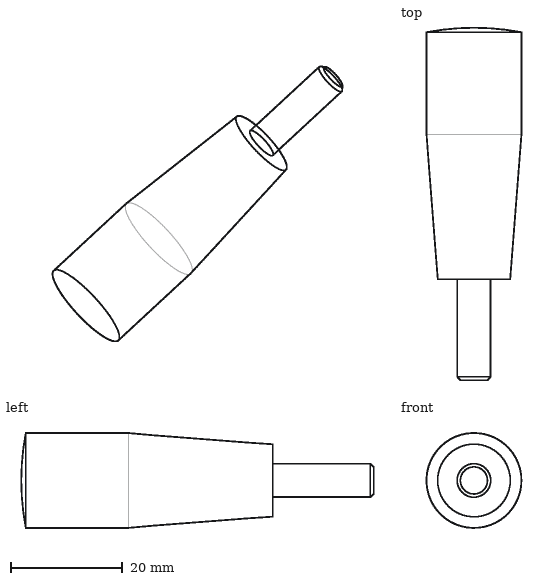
import cadquery as cq

total_length = 63.0
stud_length = 18.0
stud_radius = 6.0 / 2
stud_chamfer_length = 0.6
stud_chamfer_depth = 0.55
taper_length = 25.9
grip_radius = 17.0 / 2
taper_end_radius = 13.0 / 2
dome_height = 0.8

tip_y = -total_length / 2
shoulder_y = tip_y + stud_length
taper_top_y = shoulder_y + taper_length
dome_top_y = tip_y + total_length
dome_base_y = dome_top_y - dome_height

dome_radius = (grip_radius**2 + dome_height**2) / (2 * dome_height)
dome_center_y = dome_top_y - dome_radius
dome_mid_x = grip_radius / 2
dome_mid_y = dome_center_y + (dome_radius**2 - dome_mid_x**2) ** 0.5

half_section = (
    cq.Workplane("XY")
    .moveTo(0, tip_y)
    .lineTo(stud_radius - stud_chamfer_depth, tip_y)
    .lineTo(stud_radius, tip_y + stud_chamfer_length)
    .lineTo(stud_radius, shoulder_y)
    .lineTo(taper_end_radius, shoulder_y)
    .lineTo(grip_radius, taper_top_y)
    .lineTo(grip_radius, dome_base_y)
    .threePointArc((dome_mid_x, dome_mid_y), (0, dome_top_y))
    .close()
)

result = half_section.revolve(360, (0, 0, 0), (0, 1, 0))